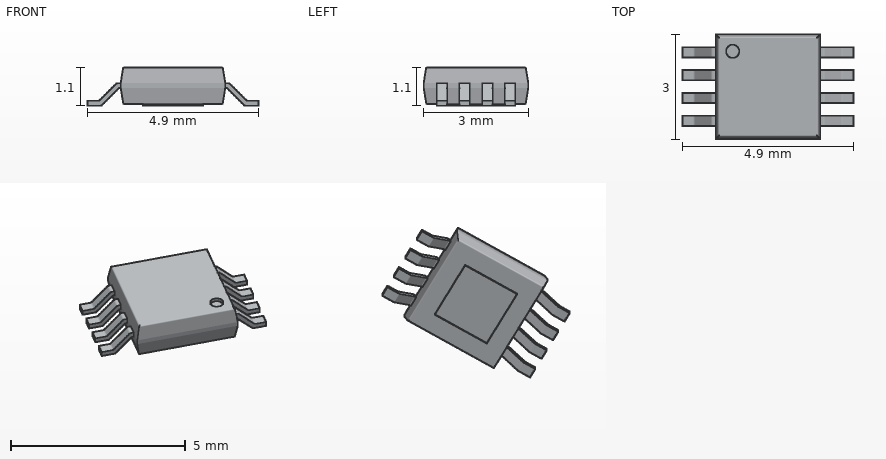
import cadquery as cq
import math

lead_span = 4.9
body_size = 3.0
total_height = 1.1

standoff = 0.05
waist_bottom = 0.515
waist_top = 0.65
taper_angle = 9.3
rim_radius = 0.045

marker_diameter = 0.375
marker_depth = 0.11
marker_offset = 1.01

pad_size = 1.725

leads_per_side = 4
lead_pitch = 0.65
lead_width = 0.3
lead_thickness = 0.145
foot_length = 0.34
lead_slope = 45.0
upper_bend_radius = 0.075
lower_bend_radius = 0.03


def tapered_half(start_z, height):
    """Housing half that narrows away from the waist; a negative height builds downwards."""
    return (
        cq.Workplane("XY", origin=(0, 0, start_z))
        .rect(body_size, body_size)
        .extrude(height, taper=taper_angle)
    )


def make_housing():
    band = cq.Workplane("XY", origin=(0, 0, waist_bottom)).rect(body_size, body_size)
    band = band.extrude(waist_top - waist_bottom)
    upper = tapered_half(waist_top, total_height - waist_top).faces(">Z").fillet(rim_radius)
    lower = tapered_half(waist_bottom, standoff - waist_bottom).faces("<Z").fillet(rim_radius)
    marker = (
        cq.Workplane("XY", origin=(-marker_offset, marker_offset, total_height))
        .circle(marker_diameter / 2)
        .extrude(-marker_depth)
    )
    return band.union(upper).union(lower).cut(marker)


def make_pad():
    return cq.Workplane("XY").rect(pad_size, pad_size).extrude(standoff)


def round_bend(lead, y, corner, radius):
    """Round the lead edge along Y that passes through the (x, z) corner."""
    bend_edge = cq.selectors.NearestToPointSelector((corner[0], y, corner[1]))
    return lead.edges("|Y").edges(bend_edge).fillet(radius)


def make_lead(y):
    """Lead on the +X side, centred at the given Y."""
    tip_x = lead_span / 2
    wall_x = body_size / 2
    shoulder_bottom = waist_top - lead_thickness
    slope_run = shoulder_bottom / math.tan(math.radians(lead_slope))
    bend_shift = lead_thickness * math.tan(math.radians(lead_slope / 2))
    foot_top_x = tip_x - foot_length
    foot_bottom_x = foot_top_x - bend_shift
    upper_bends = [(foot_top_x - slope_run, waist_top), (foot_top_x, lead_thickness)]
    lower_bends = [(foot_bottom_x, 0), (foot_bottom_x - slope_run, shoulder_bottom)]
    outline = [
        (wall_x, waist_top),
        *upper_bends,
        (tip_x, lead_thickness),
        (tip_x, 0),
        *lower_bends,
        (wall_x, shoulder_bottom),
    ]
    strip = (
        cq.Workplane("XZ", origin=(0, y + lead_width / 2, 0))
        .polyline(outline)
        .close()
        .extrude(lead_width)
    )
    for corner in upper_bends:
        strip = round_bend(strip, y, corner, upper_bend_radius)
    for corner in lower_bends:
        strip = round_bend(strip, y, corner, lower_bend_radius)
    return strip


housing = make_housing()
pad = make_pad()
leads = []
for index in range(leads_per_side):
    lead_y = (index - (leads_per_side - 1) / 2) * lead_pitch
    right_lead = make_lead(lead_y)
    leads.append(right_lead.val())
    leads.append(right_lead.mirror("YZ").val())

result = cq.Compound.makeCompound([housing.val(), pad.val(), *leads])